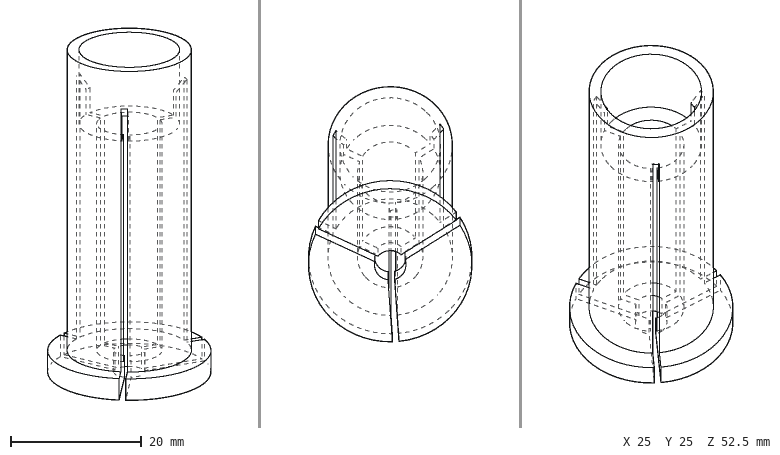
import cadquery as cq
import math

total_height = 52.5
flange_diameter = 25.0
flange_thickness = 3.5
tube_diameter = 19.0

bore_diameter = 15.4
step_diameter = 10.0
hole_diameter = 4.8
bore_floor = total_height - 12.0
step_floor = flange_thickness

slot_count = 3
slot_width = 1.0
slot_top = total_height - 6.15
slot_roof_slope = 45.0
first_slot_angle = 90.0


def cylinder(diameter, bottom, top):
    """Upright cylinder about the Z axis."""
    return cq.Workplane("XY").workplane(offset=bottom).circle(diameter / 2).extrude(top - bottom)


def slot_cutter(angle):
    """Radial slot whose top slopes down from the tube surface inward."""
    tube_radius = tube_diameter / 2
    roof_drop = tube_radius * math.tan(math.radians(slot_roof_slope))
    outer = flange_diameter
    profile = [
        (0, 0),
        (outer, 0),
        (outer, slot_top),
        (tube_radius, slot_top),
        (0, slot_top - roof_drop),
    ]
    cutter = cq.Workplane("XZ").polyline(profile).close().extrude(slot_width / 2, both=True)
    return cutter.rotate((0, 0, 0), (0, 0, 1), angle)


body = cylinder(flange_diameter, 0, flange_thickness)
body = body.union(cylinder(tube_diameter, 0, total_height))

body = body.cut(cylinder(bore_diameter, bore_floor, total_height))
body = body.cut(cylinder(step_diameter, step_floor, total_height))
body = body.cut(cylinder(hole_diameter, 0, total_height))

for index in range(slot_count):
    body = body.cut(slot_cutter(first_slot_angle + index * 360 / slot_count))

result = body